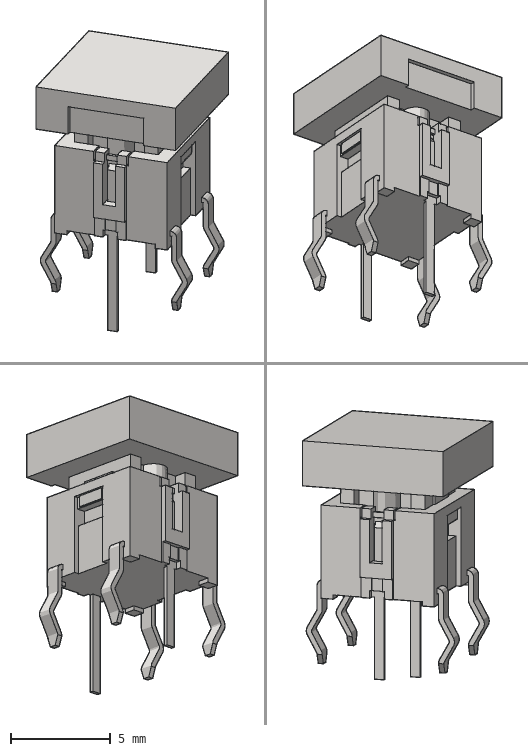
import cadquery as cq
import math


CAP_SIDE = 7.5
CAP_TOP = 8.2
CAP_BOTTOM = 5.88
CAP_NOTCH_WIDTH = 4.05
CAP_NOTCH_HEIGHT = 1.5
CAP_NOTCH_DEPTH = 0.25

BODY_SIDE = 6.04
BODY_TOP = 4.8
BODY_BOTTOM = 0.22
FOOT_SIDE = 0.65
BODY_FACE = BODY_SIDE / 2

STEM_SIDE = 4.5
STEM_RECESS_WIDTH = 3.04
LAMP_RADIUS = 0.7
LAMP_AXIS_Y = -STEM_SIDE / 2 + LAMP_RADIUS
LAMP_SEAT = 4.3

WINDOW_WIDTH = 2.05
WINDOW_TOP = 4.3
GROOVE_DEPTH = 0.28
POCKET_BOTTOM = 2.8
LATCH_BOTTOM = 3.68
LATCH_DEPTH = 0.21
LATCH_PAD_WIDTH = 1.6
LATCH_PAD_BOTTOM = 3.72
LATCH_PAD_THICKNESS = 0.08
STEM_TAB_FACE = 2.34
STEM_TAB_TOP = 5.26

CLIP_WIDTH = 1.68
CLIP_FACE = 3.29
CLIP_TOP = 4.3
PRONG_BACK = 2.4
CLIP_BOTTOM = 1.3
CLIP_SLOT_WIDTH = 0.68
CLIP_SLOT_BOTTOM = 2.08
CLIP_NOTCH_WIDTH = 1.87
CLIP_TAIL_FACE = 3.11
CLIP_TAIL_GAP = 0.59
SILL_FACE = 2.72
SILL_THICKNESS = 0.17
SILL_TOP = 4.58
LEAD_WIDTH = 0.51
LEAD_INNER_FACE = 2.6
LEAD_OUTER_FACE = 2.8
LEAD_TOP = 4.08
LEAD_BEVEL_HEIGHT = 0.28
SHOULDER_WIDTH = 0.78
SHOULDER_TOP = 0.6
FRONT_LEAD_END = -5.0
REAR_LEAD_END = -4.0

LEG_THICKNESS = 0.28
LEG_WIDTH = 0.74
LEG_SPACING = 4.48
LEG_INNER_X = 3.1
LEG_TIP_TO_TIP = 7.9
LEG_ROOT_Z = 0.6
LEG_ROOT_RADIUS = 0.35
LEG_ELBOW_Z = -1.82
LEG_BEND_RADIUS = 0.15
LEG_SLOPE = math.radians(29.5)
LEG_END = -3.5
LEG_TIP_WIDTH = 0.36
LEG_EMBED = 0.2


def block(x_range, y_range, z_range):
    """Axis-aligned box between the given limits."""
    x0, x1 = x_range
    y0, y1 = y_range
    z0, z1 = z_range
    return cq.Workplane("XY").box(x1 - x0, y1 - y0, z1 - z0, centered=False).translate((x0, y0, z0))


def centred(width):
    return (-width / 2, width / 2)


def turned(shape):
    """Copy of the shape, turned half a revolution about Z."""
    return shape.rotate((0, 0, 0), (0, 0, 1), 180)


def make_cap():
    cap = block(centred(CAP_SIDE), centred(CAP_SIDE), (CAP_BOTTOM, CAP_TOP))
    front = -CAP_SIDE / 2
    notch = block(
        centred(CAP_NOTCH_WIDTH),
        (front, front + CAP_NOTCH_DEPTH),
        (CAP_BOTTOM, CAP_BOTTOM + CAP_NOTCH_HEIGHT),
    )
    return cap.cut(notch)


def make_housing():
    """Square housing standing on four corner feet."""
    housing = block(centred(BODY_SIDE), centred(BODY_SIDE), (BODY_BOTTOM, BODY_TOP))
    foot_centre = (BODY_SIDE - FOOT_SIDE) / 2
    feet = (
        cq.Workplane("XY")
        .rect(2 * foot_centre, 2 * foot_centre, forConstruction=True)
        .vertices()
        .rect(FOOT_SIDE, FOOT_SIDE)
        .extrude(BODY_BOTTOM)
    )
    return housing.union(feet)


def add_stem(switch):
    """Add the plunger stem with a tab on each X face."""
    stem = block(centred(STEM_SIDE), centred(STEM_SIDE), (BODY_TOP, CAP_BOTTOM))
    tabs = block(centred(2 * STEM_TAB_FACE), centred(WINDOW_WIDTH), (BODY_TOP, STEM_TAB_TOP))
    return switch.union(stem).union(tabs)


def stem_recess():
    """Recess in the -Y side of the stem, as deep as the lamp axis."""
    return block(
        centred(STEM_RECESS_WIDTH),
        (-STEM_SIDE / 2, LAMP_AXIS_Y),
        (LAMP_SEAT, CAP_BOTTOM),
    )


def lamp():
    """Round lamp that bulges out of the stem recess."""
    return (
        cq.Workplane("XY", origin=(0, LAMP_AXIS_Y, LAMP_SEAT))
        .circle(LAMP_RADIUS)
        .extrude(CAP_BOTTOM - LAMP_SEAT)
    )


def latch_window_cut():
    """Material removed from the -X face: shallow groove with a deeper latch pocket."""
    groove = block(
        (-BODY_FACE, -BODY_FACE + GROOVE_DEPTH),
        centred(WINDOW_WIDTH),
        (BODY_BOTTOM, WINDOW_TOP),
    )
    pocket = block((-BODY_FACE, -STEM_TAB_FACE), centred(WINDOW_WIDTH), (POCKET_BOTTOM, WINDOW_TOP))
    return groove.union(pocket)


def latch():
    """Stem latch in the top of the -X window, with a raised pad."""
    plate_face = -BODY_FACE + LATCH_DEPTH
    plate = block((plate_face, -STEM_TAB_FACE), centred(WINDOW_WIDTH), (LATCH_BOTTOM, WINDOW_TOP))
    pad = block(
        (plate_face - LATCH_PAD_THICKNESS, plate_face),
        centred(LATCH_PAD_WIDTH),
        (LATCH_PAD_BOTTOM, WINDOW_TOP),
    )
    return plate.union(pad)


def clip():
    """Forked clip on the -Y face, with two prongs on top and two tails below."""
    plate = block(centred(CLIP_WIDTH), (-CLIP_FACE, -BODY_FACE), (CLIP_BOTTOM, CLIP_TOP))
    prongs = block(centred(CLIP_WIDTH), (-BODY_FACE, -PRONG_BACK), (CLIP_TOP, BODY_TOP))
    tails = block(centred(CLIP_WIDTH), (-CLIP_TAIL_FACE, -BODY_FACE), (BODY_BOTTOM, CLIP_BOTTOM))
    tail_gap = block(centred(CLIP_TAIL_GAP), (-CLIP_TAIL_FACE, -BODY_FACE), (BODY_BOTTOM, CLIP_BOTTOM))
    return plate.union(prongs).union(tails.cut(tail_gap))


def clip_notch():
    """Opening in the housing rim that the clip prongs stand in."""
    return block(centred(CLIP_NOTCH_WIDTH), (-BODY_FACE, -STEM_SIDE / 2), (CLIP_TOP, BODY_TOP))


def clip_slot():
    """Slot between the prongs, and the opening in front of the lead shoulder."""
    slot = block(centred(CLIP_SLOT_WIDTH), (-CLIP_FACE, -LEAD_INNER_FACE), (CLIP_SLOT_BOTTOM, BODY_TOP))
    shoulder_opening = block(
        centred(SHOULDER_WIDTH),
        (-CLIP_TAIL_FACE, -LEAD_OUTER_FACE),
        (BODY_BOTTOM, SHOULDER_TOP),
    )
    prong_gap = block(centred(CLIP_SLOT_WIDTH), (-BODY_FACE, -PRONG_BACK), (CLIP_TOP, BODY_TOP))
    return slot.union(prong_gap).union(shoulder_opening)


def prong_sill():
    """Low sill that bridges the gap between the prongs."""
    return block(
        centred(CLIP_SLOT_WIDTH),
        (-SILL_FACE, -SILL_FACE + SILL_THICKNESS),
        (CLIP_TOP, SILL_TOP),
    )


def lamp_lead(end_z):
    """Flat lead on the -Y side, bevelled at the top, with a shoulder at the housing bottom."""
    lead = (
        cq.Workplane("YZ")
        .moveTo(-LEAD_INNER_FACE, end_z)
        .lineTo(-LEAD_INNER_FACE, LEAD_TOP)
        .lineTo(-LEAD_OUTER_FACE, LEAD_TOP - LEAD_BEVEL_HEIGHT)
        .lineTo(-LEAD_OUTER_FACE, end_z)
        .close()
        .extrude(LEAD_WIDTH / 2, both=True)
    )
    shoulder = block(
        centred(SHOULDER_WIDTH),
        (-LEAD_OUTER_FACE, -LEAD_INNER_FACE),
        (BODY_BOTTOM, SHOULDER_TOP),
    )
    return lead.union(shoulder)


def arc_point(centre, radius, angle):
    x, z = centre
    return (x + radius * math.cos(angle), z + radius * math.sin(angle))


def leg(centre_y):
    """Bent snap-in leg on the +X side with a tapered tip."""
    outer_x = LEG_INNER_X + LEG_THICKNESS
    far_x = LEG_TIP_TO_TIP / 2
    root_x = BODY_FACE - LEG_EMBED
    root_top = LEG_ROOT_Z + LEG_THICKNESS
    root_arc_centre = (outer_x - LEG_ROOT_RADIUS, root_top - LEG_ROOT_RADIUS)

    concave = LEG_BEND_RADIUS
    convex = LEG_BEND_RADIUS + LEG_THICKNESS
    elbow = (far_x - convex, LEG_ELBOW_Z)
    bend_x = outer_x + concave
    bend_rise = (concave + convex - (bend_x - elbow[0]) * math.cos(LEG_SLOPE)) / math.sin(LEG_SLOPE)
    upper_bend = (bend_x, LEG_ELBOW_Z + bend_rise)
    lower_bend = (bend_x, LEG_ELBOW_Z - bend_rise)
    inward = math.pi

    strip = (
        cq.Workplane("XZ", origin=(0, centre_y, 0))
        .moveTo(root_x, root_top)
        .lineTo(*arc_point(root_arc_centre, LEG_ROOT_RADIUS, math.pi / 2))
        .threePointArc(
            arc_point(root_arc_centre, LEG_ROOT_RADIUS, math.pi / 4),
            arc_point(root_arc_centre, LEG_ROOT_RADIUS, 0),
        )
    )
    outer_arcs = (
        (upper_bend, concave, inward, inward + LEG_SLOPE),
        (elbow, convex, LEG_SLOPE, -LEG_SLOPE),
        (lower_bend, concave, inward - LEG_SLOPE, inward),
    )
    inner_arcs = (
        (lower_bend, convex, inward, inward - LEG_SLOPE),
        (elbow, concave, -LEG_SLOPE, LEG_SLOPE),
        (upper_bend, convex, inward + LEG_SLOPE, inward),
    )

    def add_arcs(outline, arcs):
        for centre, radius, start, end in arcs:
            outline = outline.lineTo(*arc_point(centre, radius, start)).threePointArc(
                arc_point(centre, radius, (start + end) / 2),
                arc_point(centre, radius, end),
            )
        return outline

    strip = add_arcs(strip, outer_arcs).lineTo(outer_x, LEG_END).lineTo(LEG_INNER_X, LEG_END)
    strip = add_arcs(strip, inner_arcs).lineTo(LEG_INNER_X, LEG_ROOT_Z).lineTo(root_x, LEG_ROOT_Z)
    strip = strip.close().extrude(LEG_WIDTH / 2, both=True)

    taper_start = lower_bend[1]
    tapered_blank = (
        cq.Workplane("YZ", origin=(root_x, centre_y, 0))
        .moveTo(-LEG_WIDTH / 2, root_top)
        .lineTo(-LEG_WIDTH / 2, taper_start)
        .lineTo(-LEG_TIP_WIDTH / 2, LEG_END)
        .lineTo(LEG_TIP_WIDTH / 2, LEG_END)
        .lineTo(LEG_WIDTH / 2, taper_start)
        .lineTo(LEG_WIDTH / 2, root_top)
        .close()
        .extrude(far_x - root_x)
    )
    return strip.intersect(tapered_blank)


def cut_pair(body, cutter):
    return body.cut(cutter).cut(turned(cutter))


def union_pair(body, addition):
    return body.union(addition).union(turned(addition))


def make_switch():
    switch = add_stem(make_housing()).union(make_cap())

    switch = cut_pair(switch, latch_window_cut())
    switch = union_pair(switch, latch())

    switch = cut_pair(switch, stem_recess())
    switch = union_pair(switch, lamp())

    switch = cut_pair(switch, clip_notch())
    switch = union_pair(switch, clip())
    switch = cut_pair(switch, clip_slot())
    switch = union_pair(switch, prong_sill())
    switch = switch.union(lamp_lead(FRONT_LEAD_END)).union(turned(lamp_lead(REAR_LEAD_END)))

    for centre_y in (-LEG_SPACING / 2, LEG_SPACING / 2):
        switch = union_pair(switch, leg(centre_y))
    return switch


result = make_switch()